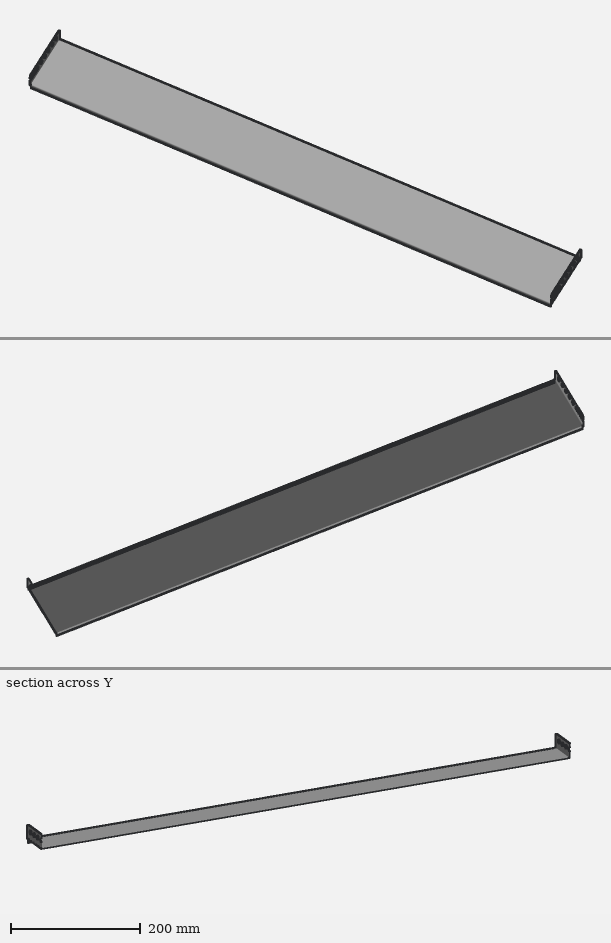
import cadquery as cq

LENGTH = 906.0
WIDTH = 100.0
HEIGHT = 31.5

SHEET = 1.5
INNER_BEND = 0.3
OUTER_BEND = INNER_BEND + SHEET

LIP_DEPTH = 8.0
SHELF_TOP = LIP_DEPTH
SHELF_BOTTOM = SHELF_TOP - SHEET
LIP_LENGTH = LENGTH - 2 * OUTER_BEND
TAB_CORNER_RADIUS = 5.0

HOLE_DIAMETER = 6.5
HOLE_PITCH = 12.5
HOLE_DROP = 10.0
HOLE_Z = HEIGHT - HOLE_DROP
HOLES_TOWARD_BACK = 3
HOLES_TOWARD_FRONT = 1
HOLE_POSITIONS = [i * HOLE_PITCH for i in range(-HOLES_TOWARD_FRONT, HOLES_TOWARD_BACK + 1)]
SLOT_END_Y = -(HOLES_TOWARD_FRONT + 1) * HOLE_PITCH


def shelf_with_lips():
    """Channel along X: flat shelf with both long edges folded down."""
    outer = (
        cq.Workplane("XY")
        .box(LIP_LENGTH, WIDTH, LIP_DEPTH, centered=(True, True, False))
        .edges("|X and >Z")
        .fillet(OUTER_BEND)
    )
    inner = (
        cq.Workplane("XY")
        .box(LIP_LENGTH, WIDTH - 2 * SHEET, SHELF_BOTTOM, centered=(True, True, False))
        .edges("|X and >Z")
        .fillet(INNER_BEND)
    )
    return outer.cut(inner)


def end_tab():
    """Tab at the -X end, folded up from the shelf, with rounded top corners."""
    outer_x = -LENGTH / 2
    bend_end_x = outer_x + OUTER_BEND
    bend_top_z = SHELF_BOTTOM + OUTER_BEND
    tab = (
        cq.Workplane("XZ", origin=(0, WIDTH / 2, 0))
        .moveTo(bend_end_x, SHELF_BOTTOM)
        .radiusArc((outer_x, bend_top_z), OUTER_BEND)
        .lineTo(outer_x, HEIGHT)
        .lineTo(outer_x + SHEET, HEIGHT)
        .lineTo(outer_x + SHEET, bend_top_z)
        .radiusArc((bend_end_x, SHELF_TOP), -INNER_BEND)
        .close()
        .extrude(WIDTH)
    )
    return tab.edges("|X and >Z").fillet(TAB_CORNER_RADIUS)


def tab_openings():
    """Round holes and the slot open to -Y, cut through both end tabs."""
    plane = cq.Workplane("YZ", origin=(-LENGTH / 2, 0, 0))
    openings = (
        plane.pushPoints([(y, HOLE_Z) for y in HOLE_POSITIONS + [SLOT_END_Y]])
        .circle(HOLE_DIAMETER / 2)
        .extrude(LENGTH)
    )
    slot_length = SLOT_END_Y + WIDTH / 2
    slot = (
        plane.center(SLOT_END_Y - slot_length / 2, HOLE_Z)
        .rect(slot_length, HOLE_DIAMETER)
        .extrude(LENGTH)
    )
    return openings.union(slot)


left_tab = end_tab()
right_tab = left_tab.mirror("YZ")
result = shelf_with_lips().union(left_tab).union(right_tab).cut(tab_openings())